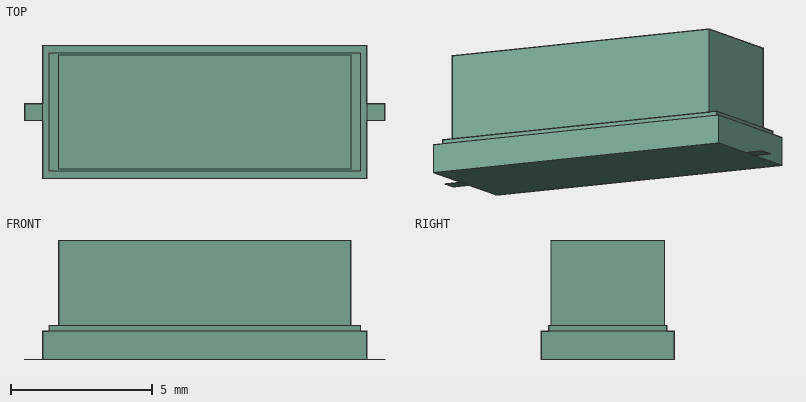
import cadquery as cq

overall_length = 12.7
overall_height = 4.2

base_length = 11.43
base_width = 4.7
base_height = 1.0

flange_length = 10.99
flange_width = 4.17
flange_height = 0.2

cap_length = 10.3
cap_width = 4.01
cap_height = overall_height - base_height - flange_height

terminal_length = (overall_length - base_length) / 2
terminal_width = 0.6
terminal_thickness = 0.01


def make_block(length, width, height, bottom=0.0):
    """Rectangular block centred on the Z axis, standing at the given height."""
    block = cq.Workplane("XY").box(length, width, height, centered=(True, True, False))
    return block.translate((0, 0, bottom))


def make_terminal(side):
    """Terminal touching the end face of the base; side is -1 or +1 along X."""
    terminal = make_block(terminal_length, terminal_width, terminal_thickness)
    center_x = side * (base_length + terminal_length) / 2
    return terminal.translate((center_x, 0, 0))


base = make_block(base_length, base_width, base_height)
flange = make_block(flange_length, flange_width, flange_height, bottom=base_height)
cap = make_block(cap_length, cap_width, cap_height, bottom=base_height + flange_height)
terminals = [make_terminal(side).val() for side in (-1, 1)]

result = cq.Compound.makeCompound([base.val(), flange.val(), cap.val(), *terminals])